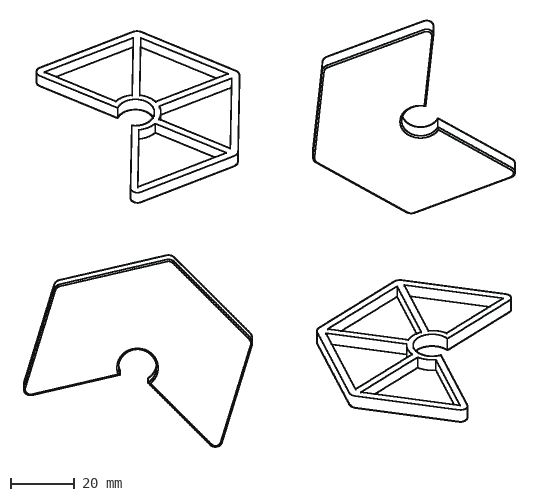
import cadquery as cq
import math

across_flats = 65.0
height = 5.0
floor_thickness = 1.0
wall = 2.5
rib_width = 2.35
open_edge_offset = 1.1
hole_radius = 6.0
hub_radius = 8.0
outer_corner_radius = 2.6
tip_corner_radius = 2.2
bottom_chamfer = 0.5
sector_pitch = 60
sector_count = 4

half_sector = math.radians(sector_pitch / 2)
apothem = across_flats / 2
circumradius = apothem / math.cos(half_sector)
half_rib = rib_width / 2


def polar(radius, angle):
    """Point at the given radius and angle in degrees."""
    return (radius * math.cos(math.radians(angle)), radius * math.sin(math.radians(angle)))


apex_y = -open_edge_offset / math.cos(half_sector)
tip_y = apex_y - apothem * math.tan(half_sector)
corners = [polar(circumradius, angle) for angle in (30, 90, 150)]
outline = [(0, apex_y), (apothem, tip_y), *corners, (-apothem, tip_y)]
plate = cq.Workplane("XY").polyline(outline).close().extrude(height)


def vertical_edges_at(point):
    """Select the vertical edge standing on an outline corner."""
    x, y = point
    return plate.edges(cq.selectors.NearestToPointSelector((x, y, height / 2)))


for corner in corners:
    plate = vertical_edges_at(corner).fillet(outer_corner_radius)
for x in (-apothem, apothem):
    plate = vertical_edges_at((x, tip_y)).fillet(tip_corner_radius)

plate = plate.cut(cq.Workplane("XY").circle(hole_radius).extrude(height))
plate = plate.faces("<Z").chamfer(bottom_chamfer)

pocket_outer = apothem - wall
pocket_inner = half_rib / math.sin(half_sector)
pocket_half_width = (pocket_outer - pocket_inner) * math.tan(half_sector)
pocket = (
    cq.Workplane("XY", origin=(0, 0, floor_thickness))
    .polyline([(pocket_inner, 0), (pocket_outer, -pocket_half_width), (pocket_outer, pocket_half_width)])
    .close()
    .extrude(height)
    .cut(cq.Workplane("XY").circle(hub_radius).extrude(2 * height))
)
for index in range(sector_count):
    plate = plate.cut(pocket.rotate((0, 0, 0), (0, 0, 1), index * sector_pitch))

result = plate